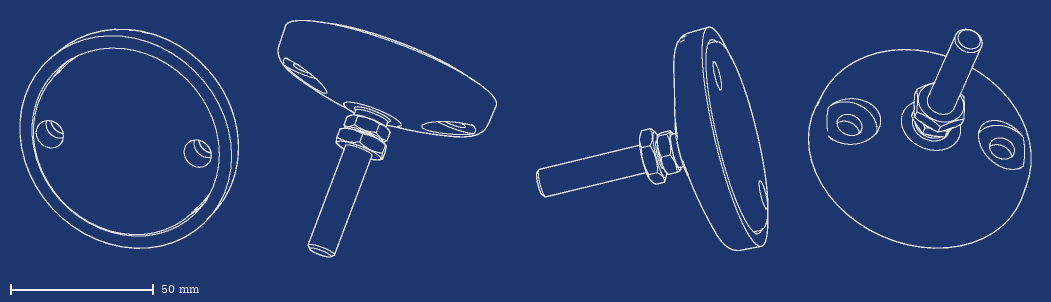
import cadquery as cq
import math


total_length = 73.4
base_radius = 39.5

base_bottom = 2.0
rim_top = 9.1
rim_draft = 0.3
shoulder_top = 13.5
shoulder_radius = 4.6
dome_top_radius = 11.5
dome_top = 20.0
dome_bulge = 0.5
base_top = 20.6
base_top_radius = 10.75
recess_mouth_radius = 34.9
recess_floor_radius = 34.5
recess_floor = rim_top

pad_radius = 34.0
pad_edge_fillet = 0.95

hole_offset = 27.6
hole_bottom_radius = 5.05
hole_top_radius = 4.5
hole_sink_radius = 9.9

stem_radius = 5.0
stem_chamfer = 0.95
foot_radius = 6.7
collar_radius = 6.0
collar_bottom = 21.3
stem_hex_bottom = 23.7
stem_hex_top = 28.45
stem_hex_flats = 14.0
neck_radius = 4.6
thread_cone_bottom = 29.0

nut_bottom = 29.5
nut_height = 5.0
nut_flats = 17.0

hex_chamfer_angle = 30.0
hex_face_ratio = 0.97

AXIS_START = (0, 0, 0)
AXIS_END = (0, 1, 0)


def turn(profile):
    """Revolve a closed (radius, Y) profile about the Y axis."""
    return profile.revolve(360, AXIS_START, AXIS_END)


def disc(radius, bottom, top):
    """Cylinder along Y between two heights."""
    return turn(
        cq.Workplane("XY")
        .moveTo(0, bottom)
        .lineTo(radius, bottom)
        .lineTo(radius, top)
        .lineTo(0, top)
        .close()
    )


def hexagon(flats, bottom, height, corner_angle):
    """Hexagonal prism along Y with chamfered corners; corner_angle turns a corner away from +X."""
    corner_radius = flats / math.sqrt(3)
    face_radius = hex_face_ratio * flats / 2
    drop = (corner_radius - face_radius) * math.tan(math.radians(hex_chamfer_angle))
    top = bottom + height
    prism = (
        cq.Workplane("XZ")
        .polygon(6, 2 * corner_radius)
        .extrude(-height)
        .rotate(AXIS_START, AXIS_END, corner_angle)
        .translate((0, bottom, 0))
    )
    envelope = turn(
        cq.Workplane("XY")
        .moveTo(0, bottom)
        .lineTo(face_radius, bottom)
        .lineTo(corner_radius, bottom + drop)
        .lineTo(corner_radius, top - drop)
        .lineTo(face_radius, top)
        .lineTo(0, top)
        .close()
    )
    return prism.intersect(envelope)


def fixing_hole(side):
    """Tapered hole through pad and base, with the wider screw-head clearance above it."""
    taper = (
        cq.Workplane("XY")
        .lineTo(hole_bottom_radius, 0)
        .lineTo(hole_top_radius, shoulder_top)
        .lineTo(0, shoulder_top)
        .close()
    )
    sink = disc(hole_sink_radius, shoulder_top, base_top)
    return turn(taper).union(sink).translate((side * hole_offset, 0, 0))


def make_base():
    """Domed plate with a drafted rim, a rounded shoulder and a tapered recess below for the pad."""
    rim_top_radius = base_radius - rim_draft
    centre_radius = rim_top_radius - shoulder_radius
    rise = shoulder_top - rim_top
    shoulder_top_radius = centre_radius + math.sqrt(shoulder_radius**2 - rise**2)
    half_turn = math.asin(rise / shoulder_radius) / 2
    shoulder_middle = (
        centre_radius + shoulder_radius * math.cos(half_turn),
        rim_top + shoulder_radius * math.sin(half_turn),
    )
    run = shoulder_top_radius - dome_top_radius
    climb = dome_top - shoulder_top
    chord = math.hypot(run, climb)
    dome_middle = (
        (shoulder_top_radius + dome_top_radius) / 2 + dome_bulge * climb / chord,
        (shoulder_top + dome_top) / 2 + dome_bulge * run / chord,
    )
    body = turn(
        cq.Workplane("XY")
        .moveTo(0, base_bottom)
        .lineTo(base_radius, base_bottom)
        .lineTo(rim_top_radius, rim_top)
        .threePointArc(shoulder_middle, (shoulder_top_radius, shoulder_top))
        .threePointArc(dome_middle, (dome_top_radius, dome_top))
        .tangentArcPoint((base_top_radius, base_top), relative=False)
        .lineTo(0, base_top)
        .close()
    )
    recess = turn(
        cq.Workplane("XY")
        .moveTo(0, base_bottom)
        .lineTo(recess_mouth_radius, base_bottom)
        .lineTo(recess_floor_radius, recess_floor)
        .lineTo(0, recess_floor)
        .close()
    )
    body = body.cut(recess)
    for side in (-1, 1):
        body = body.cut(fixing_hole(side))
    return body


def make_pad():
    """Round sole seated against the floor of the base recess."""
    body = disc(pad_radius, 0, recess_floor).faces("<Y").edges().fillet(pad_edge_fillet)
    for side in (-1, 1):
        body = body.cut(fixing_hole(side))
    return body


def make_stem():
    """Flared foot, collar, hexagon, neck and threaded shank in one piece."""
    shank = turn(
        cq.Workplane("XY")
        .moveTo(0, base_top)
        .lineTo(foot_radius, base_top)
        .lineTo(collar_radius, collar_bottom)
        .lineTo(collar_radius, stem_hex_bottom)
        .lineTo(neck_radius, stem_hex_bottom)
        .lineTo(neck_radius, thread_cone_bottom)
        .lineTo(stem_radius, nut_bottom)
        .lineTo(stem_radius, total_length - stem_chamfer)
        .lineTo(stem_radius - stem_chamfer, total_length)
        .lineTo(0, total_length)
        .close()
    )
    return shank.union(hexagon(stem_hex_flats, stem_hex_bottom, stem_hex_top - stem_hex_bottom, 0))


def make_nut():
    """Hexagonal lock nut around the shank, turned so that two flats face X."""
    body = hexagon(nut_flats, nut_bottom, nut_height, 30)
    return body.cut(disc(stem_radius, nut_bottom, nut_bottom + nut_height))


base = make_base()
pad = make_pad()
stem = make_stem()
nut = make_nut()

result = cq.Compound.makeCompound([base.val(), pad.val(), stem.val(), nut.val()])